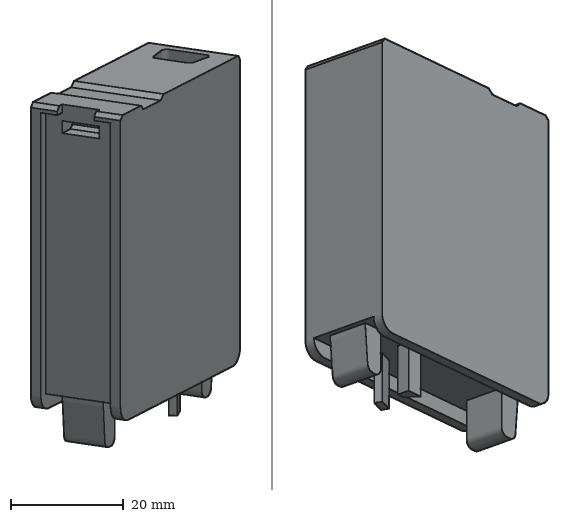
import cadquery as cq

width = 18.0
depth = 45.0
height = 63.2
front_y = -depth / 2
back_y = depth / 2

body_bottom_z = 6.6
corner_radius = 2.9
front_chamfer = 0.8
back_chamfer_depth = 0.7
back_chamfer_drop = 0.95

wall = 2.0
inner_width = width - 2 * wall
ceiling_z = body_bottom_z + corner_radius
recess_depth = 1.9
recess_top_z = height - 1.5

groove_front = 7.7
groove_back = 16.25
groove_drop = 0.9
groove_front_slope = 0.9
groove_back_slope = 1.15

latch_width = 7.4
slot_top_z = height - 3.05
slot_bottom_z = height - 5.3
slot_bevel = 0.7
slot_depth = 3.8

well_back_y = back_y - 2.85
well_front_y = back_y - 9.0
well_back_width = 9.6
well_front_width = 7.85
well_radius = 1.0
well_depth = 5.5

leg_width = 8.2
leg_bottom_z = 0.45
leg_taper_z = 8.4
leg_taper = 1.1
leg_tip_radius = 1.5
front_leg_offset = 4.3
front_leg_length = 6.9
back_leg_offset = 1.8
back_leg_length = 6.5

blade_center_x = 3.3
left_blade_width = 2.5
left_blade_back_y = back_y - 12.25
left_blade_front_y = back_y - 15.55
left_blade_slant = 1.8
right_blade_center_y = back_y - 14.05
right_blade_thickness = 1.5
right_blade_length = 3.3
right_blade_angle = 19


def block(x_size, y_min, y_max, z_min, z_max):
    """Box centred on X = 0, given by its Y and Z limits."""
    return cq.Workplane("XY").box(x_size, y_max - y_min, z_max - z_min).translate(
        (0, (y_min + y_max) / 2, (z_min + z_max) / 2)
    )


def extrude_across(points, x_size):
    """Extrude a (Y, Z) outline symmetrically about X = 0."""
    return cq.Workplane("YZ").polyline(points).close().extrude(x_size / 2, both=True)


def make_housing():
    groove_z = height - groove_drop
    outline = [
        (front_y, body_bottom_z),
        (front_y, height - front_chamfer),
        (front_y + front_chamfer, height),
        (front_y + groove_front, height),
        (front_y + groove_front + groove_front_slope, groove_z),
        (front_y + groove_back - groove_back_slope, groove_z),
        (front_y + groove_back, height),
        (back_y - back_chamfer_depth, height),
        (back_y, height - back_chamfer_drop),
        (back_y, body_bottom_z),
    ]
    housing = extrude_across(outline, width).edges("|X and <Z").fillet(corner_radius)
    channel = block(inner_width, front_y, back_y, body_bottom_z, ceiling_z)
    recess_y = front_y + recess_depth
    recess = block(inner_width, front_y, recess_y, body_bottom_z, recess_top_z)
    notch = block(latch_width, front_y, recess_y, recess_top_z, height)
    return housing.cut(channel).cut(recess).cut(notch)


def make_slot():
    """Latch slot whose flat floor ends in a bevel at the inner wall."""
    mouth_y = front_y + recess_depth
    inner_y = mouth_y + slot_depth
    outline = [
        (mouth_y, slot_bottom_z),
        (inner_y - slot_bevel, slot_bottom_z),
        (inner_y, slot_bottom_z + slot_bevel),
        (inner_y, slot_top_z),
        (mouth_y, slot_top_z),
    ]
    return extrude_across(outline, latch_width)


def make_well():
    outline = [
        (-well_back_width / 2, well_back_y),
        (well_back_width / 2, well_back_y),
        (well_front_width / 2, well_front_y),
        (-well_front_width / 2, well_front_y),
    ]
    well = cq.Workplane("XY", origin=(0, 0, height - well_depth)).polyline(outline).close()
    return well.extrude(well_depth).edges("|Z").fillet(well_radius)


def make_leg(end_y, inward, offset, length):
    """Leg with a tapered outer face; inward is the Y direction away from end_y."""
    outer_y = end_y + inward * offset
    inner_y = outer_y + inward * length
    outline = [
        (outer_y, ceiling_z),
        (outer_y, leg_taper_z),
        (outer_y + inward * leg_taper, leg_bottom_z),
        (inner_y, leg_bottom_z),
        (inner_y, ceiling_z),
    ]
    return extrude_across(outline, leg_width).edges("|X and <Z").fillet(leg_tip_radius)


def make_left_blade():
    outer_x = -blade_center_x - left_blade_width / 2
    inner_x = outer_x + left_blade_width
    outline = [
        (outer_x, left_blade_back_y),
        (outer_x, left_blade_front_y),
        (inner_x, left_blade_front_y + left_blade_slant),
        (inner_x, left_blade_back_y),
    ]
    return cq.Workplane("XY").polyline(outline).close().extrude(ceiling_z)


def make_right_blade():
    """Upright blade turned about its own vertical axis."""
    half_length = right_blade_length / 2
    blade = block(right_blade_thickness, -half_length, half_length, 0, ceiling_z)
    blade = blade.rotate((0, 0, 0), (0, 0, 1), right_blade_angle)
    return blade.translate((blade_center_x, right_blade_center_y, 0))


result = make_housing().cut(make_slot()).cut(make_well())
result = result.union(make_leg(front_y, 0.65, front_leg_offset, front_leg_length))
result = result.union(make_leg(back_y, -0.65, back_leg_offset, back_leg_length))
result = result.union(make_left_blade()).union(make_right_blade())